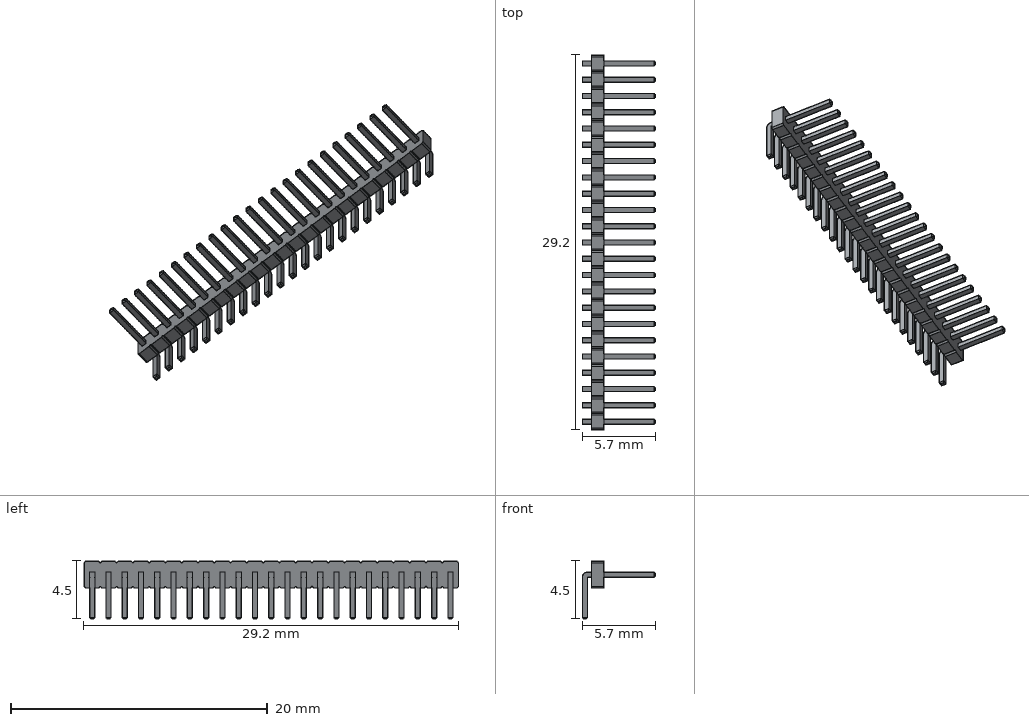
import cadquery as cq


pin_count = 23
strip_length = 29.2
strip_width = 1.0
strip_height = 2.1
strip_start = 0.7
strip_chamfer = 0.13
pin_size = 0.4
pin_reach = 5.7
overall_height = 4.5
tip_chamfer = 0.102

pitch = strip_length / pin_count
pin_top = pin_size / 2
pin_underside = -pin_size / 2
leg_bottom = strip_height / 2 - overall_height


def strip_segment(y):
    """One block of the strip, bevelled on its four X-running edges."""
    block = cq.Workplane("XY").box(strip_width, pitch, strip_height)
    block = block.edges("|X").chamfer(strip_chamfer)
    return block.translate((strip_start + strip_width / 2, y, 0))


def bent_pin(y):
    """One square pin: rounded outer bend, sharp inner corner, bevelled tips."""
    pin = (
        cq.Workplane("XZ")
        .moveTo(0, leg_bottom)
        .lineTo(0, pin_underside)
        .radiusArc((pin_size, pin_top), pin_size)
        .lineTo(pin_reach, pin_top)
        .lineTo(pin_reach, pin_underside)
        .lineTo(pin_size, pin_underside)
        .lineTo(pin_size, leg_bottom)
        .close()
        .extrude(pin_size / 2, both=True)
    )
    pin = pin.faces(">X").chamfer(tip_chamfer)
    pin = pin.faces("<Z").chamfer(tip_chamfer)
    return pin.translate((0, y, 0))


pin_rows = [(i - (pin_count - 1) / 2) * pitch for i in range(pin_count)]

bodies = []
for row in pin_rows:
    bodies.append(strip_segment(row).val())
    bodies.append(bent_pin(row).val())

result = cq.Workplane("XY").newObject([bodies[0].fuse(*bodies[1:])]).clean()